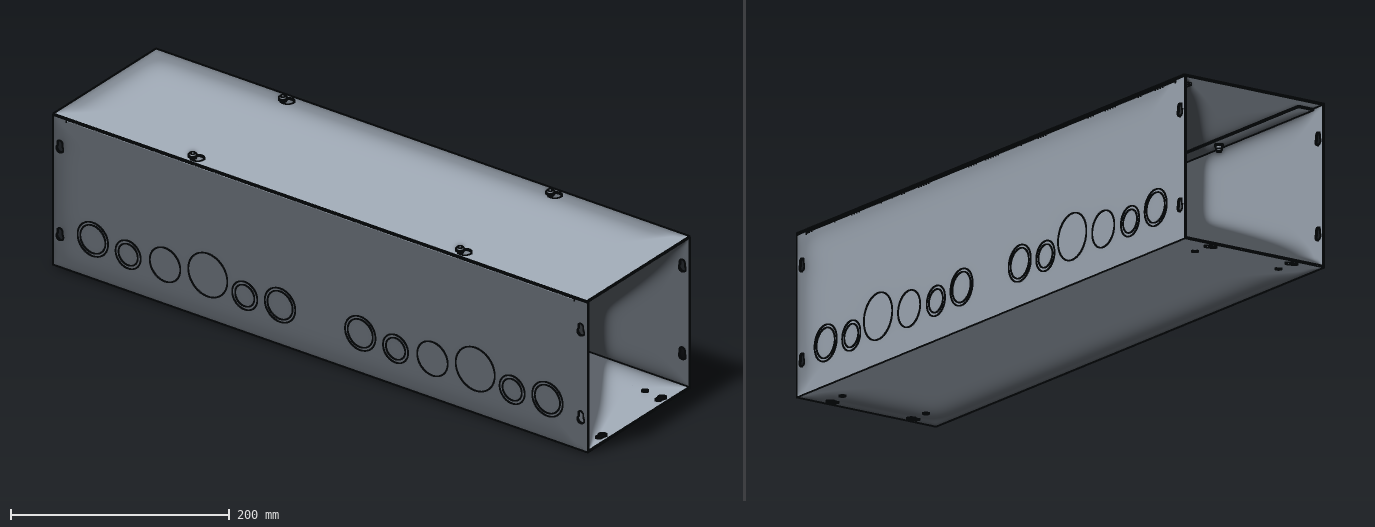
import cadquery as cq
LENGTH = 609.5
COVER_WIDTH = 157.0
TOTAL_HEIGHT = 160.5
SHEET = 1.65

HEAD_HEIGHT = 3.35
HEAD_DIAMETER = 8.0
HEAD_TOP_DIAMETER = 4.6
HEAD_RIM = 1.5
SHANK_DIAMETER = 6.0
SHANK_LENGTH = 10.0
TIP_DIAMETER = 4.1
TIP_LENGTH = 2.5
SCREW_X = LENGTH / 4
SCREW_EDGE = 10.0

COVER_TOP = TOTAL_HEIGHT - HEAD_HEIGHT
COVER_END_GAP = 0.5
COVER_HOLE_DIAMETER = 13.0
COVER_HOLE_OFFSET = 5.5

KNOCKOUT_STEP = 0.3
TROUGH_WIDTH = COVER_WIDTH - 2 * KNOCKOUT_STEP
TROUGH_HEIGHT = COVER_TOP - SHEET
BEND_RADIUS = 3.0
FLANGE_WIDTH = 18.0
FLANGE_SETBACK = 15.0
COLLAR_DIAMETER = HEAD_DIAMETER
COLLAR_HEIGHT = 1.0

GROUP_X = LENGTH / 4
KNOCKOUT_BASE = 23.5
TRADE_DIAMETERS = (22.0, 28.5, 35.0, 44.5)
END_OFFSET = 106.5
INNER_OFFSET = 66.5
MIDDLE_OFFSET = 24.5
KNOCKOUTS = (
    (-END_OFFSET, TRADE_DIAMETERS[2], TRADE_DIAMETERS[1]),
    (-INNER_OFFSET, TRADE_DIAMETERS[1], TRADE_DIAMETERS[0]),
    (-MIDDLE_OFFSET, TRADE_DIAMETERS[2], 0),
    (MIDDLE_OFFSET, TRADE_DIAMETERS[3], 0),
    (INNER_OFFSET, TRADE_DIAMETERS[1], TRADE_DIAMETERS[0]),
    (END_OFFSET, TRADE_DIAMETERS[2], TRADE_DIAMETERS[1]),
)

JOINT_X = LENGTH / 2 - 8.0
JOINT_DIAMETER = 8.0
JOINT_SLOT = 6.0
JOINT_SLOT_LENGTH = 5.5
JOINT_PITCH = 91.0
JOINT_FIRST_Z = 32.0
JOINT_FIRST_Y = -TROUGH_WIDTH / 2 + 33.5

MOUNT_DIAMETER = 6.0
MOUNT_X = LENGTH / 2 - 28.0
MOUNT_Y = 47.0

CUT_MARGIN = 6.0

SCREW_Y = COVER_WIDTH / 2 - SCREW_EDGE
SCREW_POINTS = [(x, y) for x in (-SCREW_X, SCREW_X) for y in (-SCREW_Y, SCREW_Y)]


def plate(length, width, thickness, z):
    """Plate centred on the Z axis with its underside at height z."""
    return cq.Workplane().workplane(offset=z).rect(length, width).extrude(thickness)


def post(points, diameter, z_start, z_end):
    """Vertical cylinders at the given points between two heights."""
    base = cq.Workplane().workplane(offset=z_start)
    return base.pushPoints(points).circle(diameter / 2).extrude(z_end - z_start)


def keyhole(workplane, diameter, slot, length, depth):
    """Keyhole cutter: round opening at the origin of the workplane, slot running to its +X."""
    opening = workplane.circle(diameter / 2).extrude(depth)
    neck = workplane.center(length / 2, 0).slot2D(length + slot, slot).extrude(depth)
    return opening.union(neck)


def make_channel():
    """Floor and side walls, with a rounded flange along the top of each wall."""
    bore_width = TROUGH_WIDTH - 2 * SHEET
    channel = plate(LENGTH, TROUGH_WIDTH, TROUGH_HEIGHT, 0)
    channel = channel.cut(plate(LENGTH, bore_width, TROUGH_HEIGHT, SHEET))

    flange_length = LENGTH - 2 * FLANGE_SETBACK
    opening_width = TROUGH_WIDTH - 2 * FLANGE_WIDTH
    flanges = plate(flange_length, TROUGH_WIDTH, SHEET, TROUGH_HEIGHT - SHEET)
    flanges = flanges.cut(plate(flange_length, opening_width, SHEET, TROUGH_HEIGHT - SHEET))
    channel = channel.union(flanges)

    block = plate(flange_length, TROUGH_WIDTH, TROUGH_HEIGHT, 0)
    rounded_block = block.edges("|X and >Z").fillet(BEND_RADIUS)
    return channel.cut(block.cut(rounded_block))


def make_knockouts(side):
    """Raised discs and rings on the outside of one wall; side is -1 or 1 along Y."""
    wall = cq.Workplane("XZ", origin=(0, side * TROUGH_WIDTH / 2, 0))
    raised = cq.Workplane()
    for group_x in (-GROUP_X, GROUP_X):
        for offset, diameter, opening in KNOCKOUTS:
            centre = wall.center(group_x + offset, KNOCKOUT_BASE + diameter / 2)
            outline = centre.circle(diameter / 2)
            if opening:
                outline = outline.circle(opening / 2)
            raised = raised.add(outline.extrude(-side * KNOCKOUT_STEP))
    return raised.vals()


def cut_joint_keyholes(trough):
    """Keyholes at both ends: through the two walls with slots up, through the floor with slots to -Y."""
    wall_plane = cq.Plane(origin=(0, -COVER_WIDTH / 2 - CUT_MARGIN, 0), xDir=(0, 0, 1), normal=(0, 1, 0))
    floor_plane = cq.Plane(origin=(0, 0, 0), xDir=(0, -1, 0), normal=(0, 0, 1))
    sizes = (JOINT_DIAMETER, JOINT_SLOT, JOINT_SLOT_LENGTH)
    wall_cutter = keyhole(cq.Workplane(wall_plane), *sizes, COVER_WIDTH + 2 * CUT_MARGIN)
    floor_cutter = keyhole(cq.Workplane(floor_plane), *sizes, SHEET)
    for x in (-JOINT_X, JOINT_X):
        for step in (0, JOINT_PITCH):
            trough = trough.cut(wall_cutter.translate((x, 0, JOINT_FIRST_Z + step)))
            trough = trough.cut(floor_cutter.translate((x, JOINT_FIRST_Y + step, 0)))
    return trough


def make_trough():
    trough = make_channel()
    for side in (-1, 1):
        for knockout in make_knockouts(side):
            trough = trough.union(cq.Workplane(knockout))
    trough = cut_joint_keyholes(trough)

    mount_points = [(x, y) for x in (-MOUNT_X, MOUNT_X) for y in (-MOUNT_Y, MOUNT_Y)]
    trough = trough.cut(post(mount_points, MOUNT_DIAMETER, 0, SHEET))

    flange_bottom = TROUGH_HEIGHT - SHEET
    collar_bottom = flange_bottom - COLLAR_HEIGHT
    trough = trough.union(post(SCREW_POINTS, COLLAR_DIAMETER, collar_bottom, flange_bottom))
    return trough.cut(post(SCREW_POINTS, SHANK_DIAMETER, collar_bottom, TROUGH_HEIGHT))


def make_cover():
    """Flat cover; each keyhole has its screw at the end of the slot and its opening toward +X."""
    cover = plate(LENGTH - 2 * COVER_END_GAP, COVER_WIDTH, SHEET, TROUGH_HEIGHT)
    for x, y in SCREW_POINTS:
        origin = (x + COVER_HOLE_OFFSET, y, TROUGH_HEIGHT)
        plane = cq.Plane(origin=origin, xDir=(-1, 0, 0), normal=(0, 0, 1))
        sizes = (COVER_HOLE_DIAMETER, SHANK_DIAMETER, COVER_HOLE_OFFSET)
        cover = cover.cut(keyhole(cq.Workplane(plane), *sizes, SHEET))
    return cover


def make_screw(x, y):
    """Screw turned about Z, with its head resting on the cover."""
    profile = [
        (0, HEAD_HEIGHT),
        (HEAD_TOP_DIAMETER / 2, HEAD_HEIGHT),
        (HEAD_DIAMETER / 2, HEAD_RIM),
        (HEAD_DIAMETER / 2, 0),
        (SHANK_DIAMETER / 2, 0),
        (SHANK_DIAMETER / 2, TIP_LENGTH - SHANK_LENGTH),
        (TIP_DIAMETER / 2, -SHANK_LENGTH),
        (0, -SHANK_LENGTH),
    ]
    screw = cq.Workplane("XZ").polyline(profile).close().revolve(360, (0, 0), (0, 1))
    return screw.translate((x, y, COVER_TOP))


trough = make_trough()
cover = make_cover()
screws = [make_screw(x, y) for x, y in SCREW_POINTS]

result = cq.Compound.makeCompound([trough.val(), cover.val(), *[screw.val() for screw in screws]])